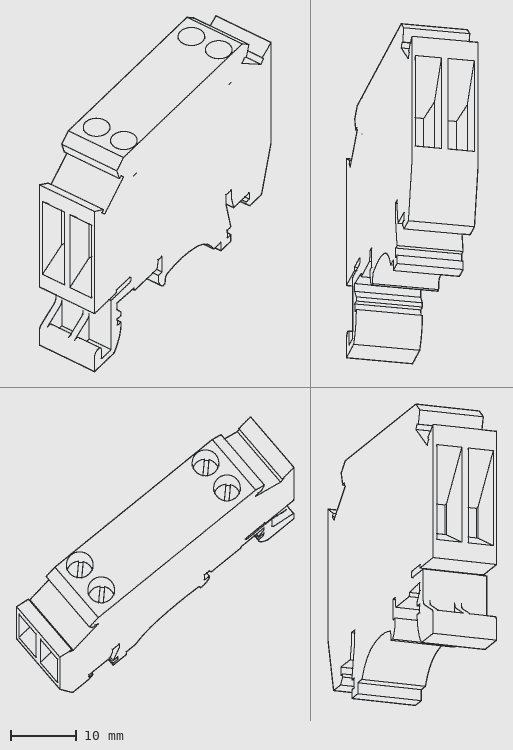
import cadquery as cq
import math

width = 10.3
length = 46.35
height = 38.7
mid_y = length / 2
pole_pitch = 5.1
pole_count = 2

screw_x = 3.05
screw_offset_y = 12.45
screw_diameter = 4.05
screw_depth = 6.0
slot_width = 0.7
slot_depth = 0.8
slot_angle = -45.0

entry_left = 0.6
entry_right = 4.65
entry_bottom = 15.0
entry_top = 30.1
entry_depth = 6.9
entry_end_left = 1.85
entry_end_right = 4.5
entry_end_bottom = 18.2
entry_end_top = 22.9
entry_left_taper_start = 4.95
entry_right_taper_start = 6.65

rail_recess_top = 10.55
rail_seat_z = 6.4
hook_bottom = 3.6
rear_wall_bottom = 12.4
front_wall_bottom = 12.05

clip_front = 17.7
clip_lip_front = 16.75
clip_lip_top = 7.3
clip_lip_bottom = 4.25
clip_toe_front = 33.15
clip_toe_rear = 35.8
clip_notch_y = 34.85
clip_notch_bottom = 1.4
clip_notch_top = 3.0
clip_sole_z = 1.75
clip_neck_rear = 34.55
clip_neck_z = 8.5

stem_front = 4.35
stem_rear = 5.9
tooth_rear = 7.0
arm_top = 11.5
arm_slot_top = 12.6
arm_slot_end = 9.05
arm_slot_step = 5.75
latch_floor = 1.3
grip_radius = 0.93
grip_center_z = 3.07

rib_width = 1.1
rib_foot_y = 0.45
rib_slope = 0.53
rib_fillet_tangent = 0.7

shoulder = [
    (length, 33.25),
    (44.0, 31.85),
    (44.35, 31.45),
    (43.7, 30.7),
    (38.75, 34.65),
    (39.3, 35.35),
    (39.85, 35.15),
    (40.5, 37.25),
    (38.75, height),
]


def lines(path, points):
    """Extend a path with straight lines through the given (Y, Z) points."""
    for y, z in points:
        path = path.lineTo(y, z)
    return path


def add_latch_teeth(path):
    """Rear side of the latch foot and stem, up to the underside of the body."""
    path = path.lineTo(5.15, 0).threePointArc((6.5, 2.2), (tooth_rear, 4.5))
    return lines(path, [
        (tooth_rear, 5.0),
        (6.1, 5.05),
        (stem_rear, rail_seat_z),
        (tooth_rear, rail_seat_z),
        (tooth_rear, 7.1),
        (stem_rear, 8.5),
        (stem_rear, 9.8),
        (10.35, 9.5),
        (10.55, 8.9),
        (16.4, 8.9),
        (clip_lip_front, rail_recess_top),
    ])


def add_central_clip(path):
    """Hook, arched underside and notched toe of the central clip."""
    path = lines(path, [
        (clip_front, rail_recess_top),
        (clip_front, clip_lip_top),
        (clip_lip_front, clip_lip_top),
        (clip_lip_front, 6.3),
    ])
    path = path.threePointArc((17.1, 5.2), (17.85, clip_lip_bottom))
    path = lines(path, [(18.5, clip_lip_bottom), (18.65, 5.4)])
    path = path.threePointArc((18.85, 5.75), (19.3, 5.95))
    path = path.threePointArc((22.9, 6.28), (26.6, 5.7))
    path = path.threePointArc((29.15, 4.4), (31.3, clip_sole_z))
    return lines(path, [
        (clip_toe_front, clip_sole_z),
        (clip_toe_front, 0),
        (clip_toe_rear, 0),
        (clip_toe_rear, clip_notch_bottom),
        (clip_notch_y, clip_notch_bottom),
        (clip_notch_y, clip_notch_top),
        (clip_toe_rear, clip_notch_top),
        (clip_neck_rear, clip_neck_z),
        (clip_neck_rear, rail_recess_top),
    ])


def add_rear_hook(path):
    """Fixed rail hook at the rear and the sloped wall above it."""
    return lines(path, [
        (35.95, rail_recess_top),
        (35.95, 8.75),
        (36.5, rail_seat_z),
        (40.6, rail_seat_z),
        (40.6, 5.1),
        (39.8, 5.1),
        (39.8, 4.6),
        (40.75, hook_bottom),
        (43.85, hook_bottom),
        (length, rear_wall_bottom),
    ])


def add_cover(path):
    """Rear shoulder, top face and mirrored front shoulder."""
    front_shoulder = [(length - y, z) for y, z in reversed(shoulder)]
    return lines(path, shoulder + front_shoulder)


def add_latch_front(path):
    """Slot above the latch arm, front of the stem and the rounded grip bar."""
    slot_mid_z = (arm_slot_top + arm_top) / 2
    slot_radius = (arm_slot_top - arm_top) / 2
    path = lines(path, [
        (0, front_wall_bottom),
        (arm_slot_step, front_wall_bottom),
        (arm_slot_step, arm_slot_top),
        (arm_slot_end, arm_slot_top),
    ])
    path = path.threePointArc((arm_slot_end + slot_radius, slot_mid_z), (arm_slot_end, arm_top))
    path = lines(path, [
        (stem_front, arm_top),
        (stem_front, latch_floor),
        (2 * grip_radius, latch_floor),
        (2 * grip_radius, grip_center_z),
    ])
    return path.threePointArc((grip_radius, grip_center_z + grip_radius), (0, grip_center_z))


def make_body():
    path = cq.Workplane("YZ").moveTo(0, 0)
    path = add_latch_teeth(path)
    path = add_central_clip(path)
    path = add_rear_hook(path)
    path = add_cover(path)
    path = add_latch_front(path)
    return path.close().extrude(width)


def make_rib(x):
    """Sloped rib from the grip bar up to the stem, blended tangentially into the stem."""
    foot_z = grip_center_z + math.sqrt(grip_radius**2 - (grip_radius - rib_foot_y) ** 2)
    corner_z = foot_z + rib_slope * (stem_front - rib_foot_y)
    slope_angle = math.atan(rib_slope)
    blend_y = stem_front - rib_fillet_tangent * math.cos(slope_angle)
    blend_z = corner_z - rib_fillet_tangent * math.sin(slope_angle)
    blend_top = corner_z + rib_fillet_tangent
    return (
        cq.Workplane("YZ", origin=(x, 0, 0))
        .moveTo(rib_foot_y, latch_floor)
        .lineTo(rib_foot_y, foot_z)
        .lineTo(blend_y, blend_z)
        .tangentArcPoint((stem_front, blend_top), relative=False)
        .lineTo(stem_rear, blend_top)
        .lineTo(stem_rear, latch_floor)
        .close()
        .extrude(rib_width)
    )


def make_screw_hole(x, y):
    """Round screw well with a driver slot sunk into its floor."""
    floor_z = height - screw_depth
    well = cq.Workplane("XY", origin=(x, y, floor_z)).circle(screw_diameter / 2).extrude(screw_depth)
    slot_bottom = cq.Workplane("XY", origin=(x, y, floor_z - slot_depth))
    slot_plane = slot_bottom.transformed(rotate=(0, 0, slot_angle))
    slot = slot_plane.rect(screw_diameter, slot_width).extrude(slot_depth)
    slot_limit = slot_bottom.circle(screw_diameter / 2).extrude(slot_depth)
    return well.union(slot.intersect(slot_limit))


def make_wire_entry(x):
    """Funnel cut from the front face: sloped roof and floor, sides tapering near the end."""
    side_view = (
        cq.Workplane("YZ", origin=(x, 0, 0))
        .moveTo(0, entry_bottom)
        .lineTo(entry_depth, entry_end_bottom)
        .lineTo(entry_depth, entry_end_top)
        .lineTo(0, entry_top)
        .close()
        .extrude(pole_pitch)
    )
    plan_view = (
        cq.Workplane("XY", origin=(x, 0, 0))
        .moveTo(entry_left, 0)
        .lineTo(entry_right, 0)
        .lineTo(entry_right, entry_right_taper_start)
        .lineTo(entry_end_right, entry_depth)
        .lineTo(entry_end_left, entry_depth)
        .lineTo(entry_left, entry_left_taper_start)
        .close()
        .extrude(height)
    )
    return side_view.intersect(plan_view)


result = make_body()
for pole in range(pole_count):
    pole_x = pole * pole_pitch
    entry = make_wire_entry(pole_x)
    rear_entry = entry.mirror("XZ", (0, mid_y, 0))
    result = result.union(make_rib(pole_x)).cut(entry).cut(rear_entry)
    for side in (-1, 1):
        result = result.cut(make_screw_hole(pole_x + screw_x, mid_y + side * screw_offset_y))